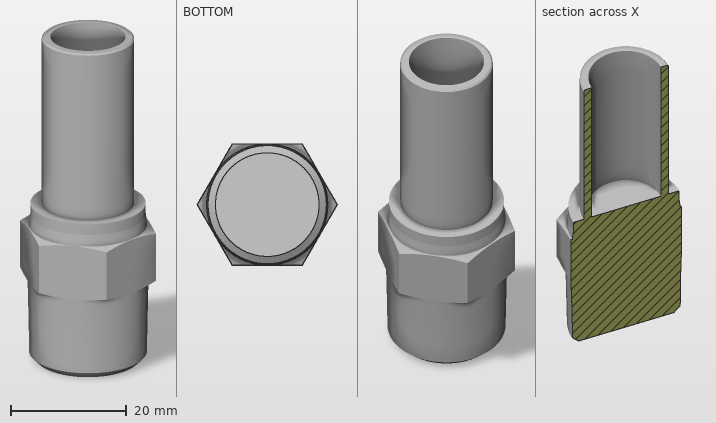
import cadquery as cq
import math

total_height = 60.0
hex_bottom = 15.0
hex_top = 25.0
collar_step = 27.0
collar_top = 29.0

thread_tip_diameter = 20.45
thread_root_diameter = 21.0
thread_chamfer = 1.25

across_flats = 21.0
across_corners = across_flats / math.cos(math.radians(30))
hex_chamfer_angle = 20.0

collar_diameter = 20.0
flare_diameter = 20.45

tube_diameter = 16.0
bore_diameter = 13.0
tube_chamfer = 0.3
bore_floor = collar_top


def turned_body():
    """Solid of revolution: tapered thread blank, collar and tube."""
    tip_radius = thread_tip_diameter / 2
    tube_radius = tube_diameter / 2
    profile = [
        (0, 0),
        (tip_radius - thread_chamfer, 0),
        (tip_radius, thread_chamfer),
        (thread_root_diameter / 2, hex_bottom),
        (flare_diameter / 2, hex_top),
        (collar_diameter / 2, collar_step),
        (collar_diameter / 2, collar_top),
        (tube_radius, collar_top),
        (tube_radius, total_height - tube_chamfer),
        (tube_radius - tube_chamfer, total_height),
        (0, total_height),
    ]
    return cq.Workplane("XZ").polyline(profile).close().revolve(360, (0, 0), (0, 1))


def hexagon():
    """Wrench hexagon with its corners along X, bevelled conically at both ends."""
    prism = (
        cq.Workplane("XY")
        .workplane(offset=hex_bottom)
        .polygon(6, across_corners)
        .extrude(hex_top - hex_bottom)
    )
    flat_radius = across_flats / 2
    corner_radius = across_corners / 2
    bevel_drop = (corner_radius - flat_radius) * math.tan(math.radians(hex_chamfer_angle))
    envelope = (
        cq.Workplane("XZ")
        .polyline([
            (0, hex_bottom),
            (flat_radius, hex_bottom),
            (corner_radius, hex_bottom + bevel_drop),
            (corner_radius, hex_top - bevel_drop),
            (flat_radius, hex_top),
            (0, hex_top),
        ])
        .close()
        .revolve(360, (0, 0), (0, 1))
    )
    return prism.intersect(envelope)


def bore():
    """Blind bore entering from the open end of the tube."""
    return (
        cq.Workplane("XY")
        .workplane(offset=bore_floor)
        .circle(bore_diameter / 2)
        .extrude(total_height - bore_floor)
    )


result = turned_body().union(hexagon()).cut(bore())